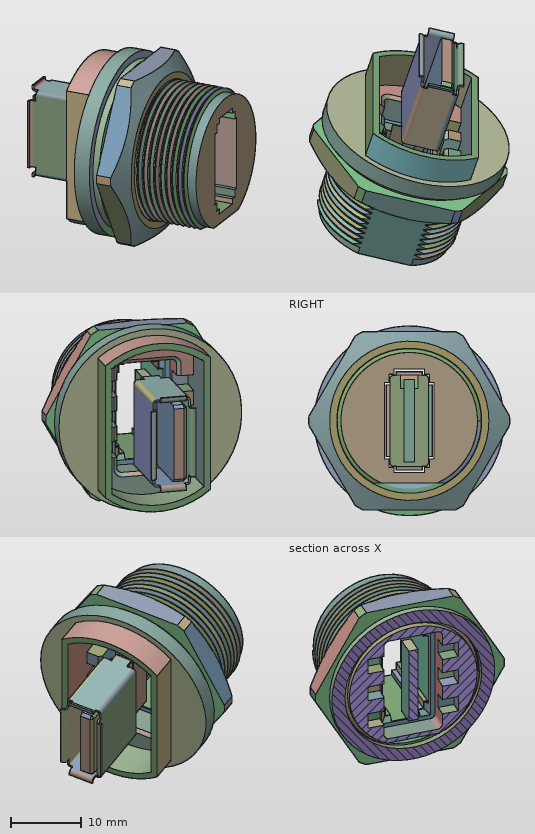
import cadquery as cq
import math


collar_front = 8.37
flange_front = 12.37
flange_back = 14.78
barrel_end = 29.8
collar_radius = 12.52
collar_half_width = 7.78
collar_wall = 0.98
flange_radius = 13.5
barrel_radius = 9.7
barrel_flat_z = -8.88

cavity_floor = 13.9
recess_half_y = 4.4
recess_half_z = 8.1
recess_corner_radius = 0.77
recess_chamfer_width = 0.57
recess_chamfer_depth = 0.42
recess_floor = 17.88

channel_half_z = 5.7
channel_floor = 16.7
rib_count = 2
rib_pitch = 4.47
rib_top_half = 1.07
rib_root_half = 1.25

funnel_half_y = 3.7
funnel_half_z = 7.42
funnel_depth = 0.72
core_half_y = 2.85
core_half_z = 6.6
side_notch_half_y = 3.5
side_notch_half_z = 5.42
side_notch_lead = 0.18
end_notch_half_y = 2.15
end_notch_half_z = 7.33

thread_pitch = 0.903
thread_turns = 14.5
thread_crest_radius = 10.25
thread_end = 28.55
thread_root_half = 0.4
thread_crest_half = 0.05
thread_embed = 0.05

bore_clearance = 0.05
bore_radius = thread_crest_radius + bore_clearance
gasket_radius = 12.37
gasket_thickness = 1.0
nut_front = 16.3
nut_back = 20.32
nut_bevel_start = 18.55
nut_half_flats = 12.7
nut_corner_radius = 14.3
nut_bevel_radius = 11.32

shell_front = 1.05
shell_back = 11.15
shell_half_y = 2.77
shell_half_z = 6.5
shell_corner_radius = 0.57
sheet = 0.3
lip_bend_radius = 0.25
lip_rise = 0.5
side_lip_width = 10.2
end_lip_width = 3.75
rear_tab_half_y = 1.25
rear_tab_length = 1.95
rear_tab_bend_radius = 0.9
base_front = 8.95
tongue_half_z = 5.7
tongue_thickness = 1.97
tongue_chamfer = 0.45
plate_half_y = 0.72
plate_half_z = 5.87
plate_end = 17.88
contact_count = 4
contact_pitch = 2.03
contact_width = 0.98
contact_end = 13.53
contact_height = 0.05


def box_between(x0, x1, y0, y1, z0, z1):
    return cq.Workplane().box(x1 - x0, y1 - y0, z1 - z0, centered=False).translate((x0, y0, z0))


def through_box(x0, x1, half_y, half_z):
    """Box centred on the axis, between two X planes."""
    return box_between(x0, x1, -half_y, half_y, -half_z, half_z)


def disc(x0, x1, radius):
    return cq.Workplane("YZ", origin=(x0, 0, 0)).circle(radius).extrude(x1 - x0)


def rounded_box(x0, x1, half_y, half_z, radius):
    return through_box(x0, x1, half_y, half_z).edges("|X").fillet(radius)


def flatted_disc(x0, x1, radius, half_width):
    """Disc with two flats parallel to the XZ plane."""
    return disc(x0, x1, radius).intersect(through_box(x0, x1, half_width, radius))


def centred_positions(count, pitch):
    return [(i - (count - 1) / 2) * pitch for i in range(count)]


def thread_ridge():
    """Right-handed ridge that ends on the +Y side."""
    length = thread_pitch * thread_turns
    helix = cq.Wire.makeHelix(thread_pitch, length, barrel_radius)
    root = barrel_radius - thread_embed
    ridge = (
        cq.Workplane("XZ")
        .polyline([
            (root, -thread_root_half),
            (root, thread_root_half),
            (thread_crest_radius, thread_crest_half),
            (thread_crest_radius, -thread_crest_half),
        ])
        .close()
        .sweep(cq.Workplane(helix), isFrenet=True)
    )
    ridge = ridge.rotate((0, 0, 0), (0, 1, 0), 90).rotate((0, 0, 0), (1, 0, 0), -90)
    return ridge.translate((thread_end - length, 0, 0))


def recess_cutter():
    """Recess in the cavity floor, with a sloped border around its mouth."""
    border = (
        cq.Workplane("YZ", origin=(cavity_floor, 0, 0))
        .sketch()
        .rect(2 * (recess_half_y + recess_chamfer_width), 2 * (recess_half_z + recess_chamfer_width))
        .vertices()
        .fillet(recess_corner_radius + recess_chamfer_width)
        .finalize()
        .extrude(recess_chamfer_depth, taper=math.degrees(math.atan2(recess_chamfer_width, recess_chamfer_depth)))
    )
    well = rounded_box(cavity_floor, recess_floor, recess_half_y, recess_half_z, recess_corner_radius)
    return border.union(well)


def slots_cutter():
    """Channel across the cavity floor with the ribs left standing in it."""
    half_length = collar_half_width - collar_wall
    cutter = through_box(cavity_floor, channel_floor, half_length, channel_half_z)
    for z in centred_positions(rib_count, rib_pitch):
        rib = (
            cq.Workplane("XZ", origin=(0, half_length, 0))
            .polyline([
                (cavity_floor, z - rib_top_half),
                (channel_floor, z - rib_root_half),
                (channel_floor, z + rib_root_half),
                (cavity_floor, z + rib_top_half),
            ])
            .close()
            .extrude(2 * half_length)
        )
        cutter = cutter.cut(rib)
    return cutter


def opening_cutter():
    """Passage for the connector, from the recess floor through the barrel."""
    funnel = (
        cq.Workplane("YZ", origin=(recess_floor, 0, 0))
        .rect(2 * funnel_half_y, 2 * funnel_half_z)
        .workplane(offset=funnel_depth)
        .rect(2 * (funnel_half_y - funnel_depth), 2 * (funnel_half_z - funnel_depth))
        .loft(ruled=True)
    )
    core = through_box(recess_floor, barrel_end, core_half_y, core_half_z)
    side_notch = through_box(recess_floor, barrel_end, side_notch_half_y, side_notch_half_z)
    side_lead = through_box(
        recess_floor, recess_floor + funnel_depth, side_notch_half_y, side_notch_half_z + side_notch_lead
    )
    end_notch = through_box(recess_floor, barrel_end, end_notch_half_y, end_notch_half_z)
    return funnel.union(core).union(side_notch).union(side_lead).union(end_notch)


def make_housing():
    cavity = flatted_disc(
        collar_front, cavity_floor, collar_radius - collar_wall, collar_half_width - collar_wall
    )
    body = (
        flatted_disc(collar_front, flange_front, collar_radius, collar_half_width)
        .union(disc(flange_front, flange_back, flange_radius))
        .union(disc(flange_back, barrel_end, barrel_radius))
        .cut(cavity)
        .cut(recess_cutter())
        .cut(slots_cutter())
        .cut(opening_cutter())
    )
    below_flat = box_between(
        flange_back, barrel_end, -flange_radius, flange_radius, -flange_radius, barrel_flat_z
    )
    return body.union(thread_ridge(), clean=False).cut(below_flat, clean=False)


def make_gasket():
    gasket_back = flange_back + gasket_thickness
    return disc(flange_back, gasket_back, gasket_radius).cut(disc(flange_back, gasket_back, bore_radius))


def make_nut():
    """Hexagonal nut with flats at +Z and -Z, rounded corners and a bevelled back."""
    hexagon = (
        cq.Workplane("YZ", origin=(nut_front, 0, 0))
        .polygon(6, 2 * nut_half_flats, circumscribed=True)
        .extrude(nut_back - nut_front)
        .rotate((0, 0, 0), (1, 0, 0), 30)
    )
    turned_blank = (
        cq.Workplane("XY")
        .polyline([
            (nut_front, 0),
            (nut_front, nut_corner_radius),
            (nut_bevel_start, nut_corner_radius),
            (nut_back, nut_bevel_radius),
            (nut_back, 0),
        ])
        .close()
        .revolve(360, (0, 0, 0), (1, 0, 0))
    )
    return hexagon.intersect(turned_blank).cut(disc(nut_front, nut_back, bore_radius))


def flared_lip(width, shell_half):
    """Outward-bent lip at the +Z edge of the shell mouth."""
    bend_x = sheet + lip_bend_radius
    bend_z = shell_half + lip_bend_radius
    diagonal = math.sqrt(0.5)
    inner_reach = lip_bend_radius * diagonal
    outer_reach = (lip_bend_radius + sheet) * diagonal
    return (
        cq.Workplane("XZ", origin=(0, width / 2, 0))
        .moveTo(shell_front, shell_half)
        .lineTo(bend_x, shell_half)
        .threePointArc((bend_x - inner_reach, bend_z - inner_reach), (sheet, bend_z))
        .lineTo(sheet, shell_half + lip_rise)
        .lineTo(0, shell_half + lip_rise)
        .lineTo(0, bend_z)
        .threePointArc((bend_x - outer_reach, bend_z - outer_reach), (bend_x, shell_half - sheet))
        .lineTo(shell_front, shell_half - sheet)
        .close()
        .extrude(width)
    )


def rear_tab():
    """Tab behind the top of the shell, bent down at its end."""
    tab_end = shell_back + rear_tab_length
    strip = box_between(
        shell_back, tab_end, -rear_tab_half_y, rear_tab_half_y,
        shell_half_z - rear_tab_length, shell_half_z,
    ).edges("|Y and >X and >Z").fillet(rear_tab_bend_radius)
    hollow = box_between(
        shell_back, tab_end - sheet, -rear_tab_half_y, rear_tab_half_y,
        shell_half_z - rear_tab_length, shell_half_z - sheet,
    ).edges("|Y and >X and >Z").fillet(rear_tab_bend_radius - sheet)
    return strip.cut(hollow)


def make_tongue():
    """Tongue inside the shell, chamfered on all but its +Y side."""
    block = box_between(0, base_front, -tongue_thickness, 0, -tongue_half_z, tongue_half_z)
    front_edges = block.faces("<X").edges("not >Y")
    side_edges = block.faces("<Y").edges("|X")
    return front_edges.add(side_edges).chamfer(tongue_chamfer)


def make_connector():
    shell = rounded_box(shell_front, shell_back, shell_half_y, shell_half_z, shell_corner_radius)
    interior = rounded_box(
        shell_front, base_front, shell_half_y - sheet, shell_half_z - sheet, shell_corner_radius - sheet
    )
    body = shell.cut(interior).union(make_tongue())
    for turn in (0, 180):
        end_lip = flared_lip(end_lip_width, shell_half_z)
        side_lip = flared_lip(side_lip_width, shell_half_y)
        body = body.union(end_lip.rotate((0, 0, 0), (1, 0, 0), turn))
        body = body.union(side_lip.rotate((0, 0, 0), (1, 0, 0), turn + 90))
    body = body.union(rear_tab())
    body = body.union(through_box(shell_back, plate_end, plate_half_y, plate_half_z))
    for z in centred_positions(contact_count, contact_pitch):
        contact = box_between(
            shell_back, contact_end, -plate_half_y - contact_height, -plate_half_y,
            z - contact_width / 2, z + contact_width / 2,
        )
        body = body.union(contact)
    return body


housing = make_housing()
gasket = make_gasket()
nut = make_nut()
connector = make_connector()

result = cq.Compound.makeCompound([housing.val(), gasket.val(), nut.val(), connector.val()])